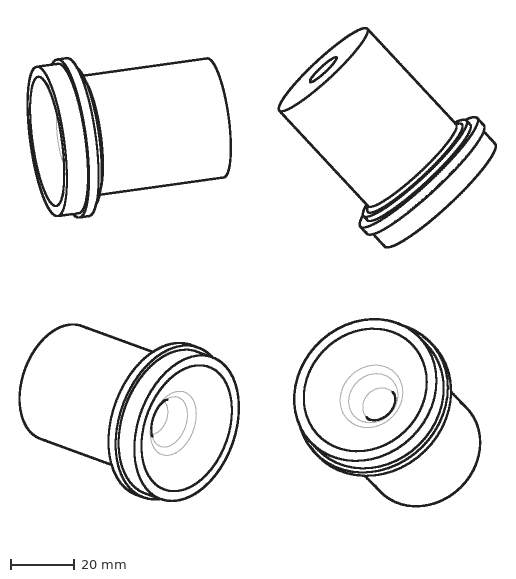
import cadquery as cq

total_length = 54.95
half_length = total_length / 2

rim_radius = 23.85
flange_radius = 25.2
shoulder_radius = 22.2
tube_radius = 19.0

rim_end = 6.85
flange_end = 10.0
shoulder_end = 11.8
chamfer_size = 1.3

mouth_radius = 20.6
cone_end_radius = 10.5
cone_end_depth = 5.9
throat_radius = 8.25
throat_depth = 7.6
bore_radius = 5.7
bore_start_depth = 13.75


def at(radius, depth):
    """Profile point at a radius and a depth behind the mouth face."""
    return (radius, depth - half_length)


def make_body():
    """Solid stepped outside, revolved about Y."""
    return (
        cq.Workplane("XY")
        .moveTo(*at(0, 0))
        .lineTo(*at(rim_radius, 0))
        .lineTo(*at(rim_radius, rim_end))
        .lineTo(*at(flange_radius, rim_end))
        .lineTo(*at(flange_radius, flange_end))
        .lineTo(*at(shoulder_radius, flange_end))
        .lineTo(*at(shoulder_radius, shoulder_end))
        .lineTo(*at(tube_radius + chamfer_size, shoulder_end))
        .lineTo(*at(tube_radius, shoulder_end + chamfer_size))
        .lineTo(*at(tube_radius, total_length))
        .lineTo(*at(0, total_length))
        .close()
        .revolve(360, (0, 0), (0, 1))
    )


def make_passage():
    """Funnel and bore; each arc continues tangent to the wall before it."""
    return (
        cq.Workplane("XY")
        .moveTo(*at(0, total_length))
        .lineTo(*at(bore_radius, total_length))
        .lineTo(*at(bore_radius, bore_start_depth))
        .tangentArcPoint(at(throat_radius, throat_depth), relative=False)
        .tangentArcPoint(at(cone_end_radius, cone_end_depth), relative=False)
        .lineTo(*at(mouth_radius, 0))
        .lineTo(*at(0, 0))
        .close()
        .revolve(360, (0, 0), (0, 1))
    )


result = make_body().cut(make_passage())